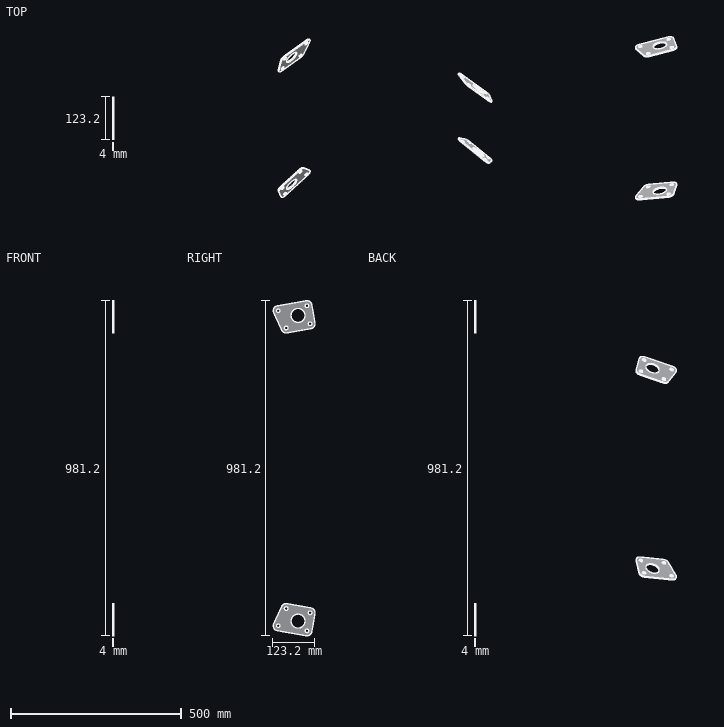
import cadquery as cq
import math

thickness = 4.0
corner_radius = 15.0
tilt = 10.0

bolt_diameter = 10.1
bolt_row_spacing = 53.5
long_row_length = 85.2
short_row_length = 71.0

bore_diameter = 40.2
bore_along_row = 30.5
bore_across_rows = 23.5

overall_height = 981.25

row_start = -bore_along_row
long_row_z = bore_across_rows
short_row_z = bore_across_rows - bolt_row_spacing
bolt_centres = [
    (row_start, long_row_z),
    (row_start, short_row_z),
    (row_start + short_row_length, short_row_z),
    (row_start + long_row_length, long_row_z),
]

tilt_angle = math.radians(tilt)
plate_top = long_row_z * math.cos(tilt_angle) - row_start * math.sin(tilt_angle) + corner_radius
bore_height = overall_height / 2 - plate_top


def tangent_outline(centres, radius):
    """Closed outline wrapped around equal circles, listed counterclockwise."""
    count = len(centres)
    normals = []
    for index, (x, y) in enumerate(centres):
        next_x, next_y = centres[(index + 1) % count]
        length = math.hypot(next_x - x, next_y - y)
        normals.append(((next_y - y) / length, (x - next_x) / length))

    def on_circle(index, direction):
        x, y = centres[index % count]
        size = math.hypot(*direction)
        return (x + radius * direction[0] / size, y + radius * direction[1] / size)

    outline = cq.Workplane("XZ").moveTo(*on_circle(0, normals[0]))
    for index in range(count):
        corner = (index + 1) % count
        before = normals[index]
        after = normals[corner]
        middle = (before[0] + after[0], before[1] + after[1])
        outline = outline.lineTo(*on_circle(corner, before))
        outline = outline.threePointArc(on_circle(corner, middle), on_circle(corner, after))
    return outline.close()


def make_upper_plate():
    """Tilted mounting plate, its bore along X at Y = 0."""
    plate = tangent_outline(bolt_centres, corner_radius).extrude(-thickness)
    bolts = cq.Workplane("XZ").pushPoints(bolt_centres).circle(bolt_diameter / 2).extrude(-thickness)
    bore = cq.Workplane("XZ").circle(bore_diameter / 2).extrude(-thickness)
    plate = plate.cut(bolts).cut(bore)
    plate = plate.rotate((0, 0, 0), (0, 1, 0), tilt)
    plate = plate.rotate((0, 0, 0), (0, 0, 1), -90)
    return plate.translate((0, 0, bore_height))


upper_plate = make_upper_plate()
lower_plate = upper_plate.mirror("XY")

result = cq.Compound.makeCompound([upper_plate.val(), lower_plate.val()])